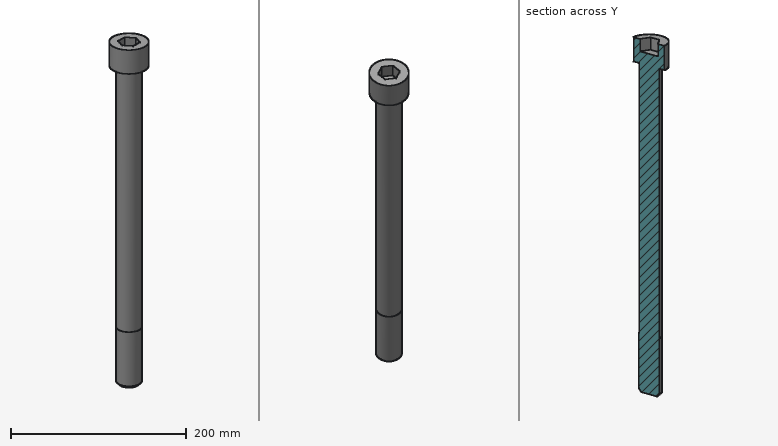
import cadquery as cq
import math

total_length = 430.0
thread_diameter = 30.0
plain_diameter = 29.5
head_diameter = 45.0
head_height = thread_diameter
thread_length = 72.0
tip_chamfer_radial = 4.0
tip_chamfer_height = 4.0
socket_across_flats = 22.0
socket_depth = head_height / 2

shank_length = total_length - head_height
plain_length = shank_length - thread_length


def cylinder(diameter, bottom, height):
    return cq.Workplane("XY").workplane(offset=bottom).circle(diameter / 2).extrude(height)


socket_across_corners = socket_across_flats / math.cos(math.pi / 6)
socket = (
    cq.Workplane("XY")
    .workplane(offset=head_height - socket_depth)
    .polygon(6, socket_across_corners)
    .extrude(socket_depth)
)
head = cylinder(head_diameter, 0, head_height).cut(socket)

plain_shank = cylinder(plain_diameter, -plain_length, plain_length)
threaded_end = (
    cylinder(thread_diameter, -shank_length, thread_length)
    .faces("<Z")
    .chamfer(tip_chamfer_height, tip_chamfer_radial)
)

result = head.union(plain_shank).union(threaded_end)